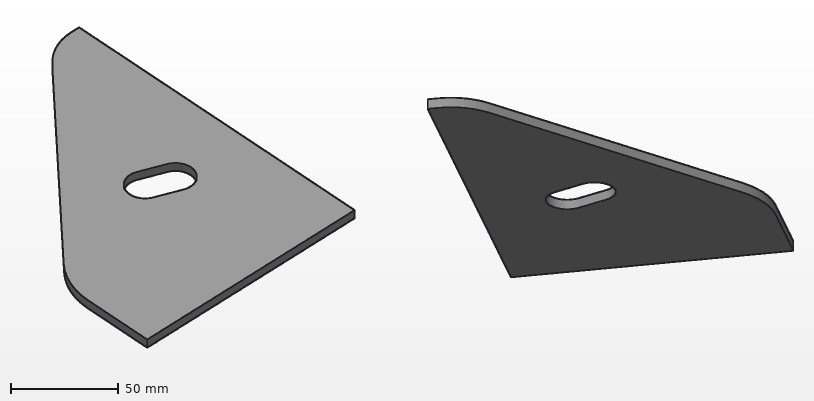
import cadquery as cq

length = 185.0
width = 135.0
thickness = 5.0

left_edge = 18.1
bottom_edge = 55.1
left_corner_radius = 30.0
bottom_corner_radius = 40.0

slot_center_x = 106.4
slot_center_y = 84.7
slot_width = 20.0
slot_center_spacing = 15.4
slot_angle = 68.0


def make_plate():
    """Rectangle with one corner cut off by a sloping edge, then rounded."""
    left_corner = (0, width - left_edge)
    bottom_corner = (length - bottom_edge, 0)
    plate = (
        cq.Workplane("XY")
        .polyline([(0, width), left_corner, bottom_corner, (length, 0), (length, width)])
        .close()
        .extrude(thickness)
    )
    plate = round_corner(plate, left_corner, left_corner_radius)
    return round_corner(plate, bottom_corner, bottom_corner_radius)


def round_corner(plate, corner, radius):
    """Round the vertical edge nearest to the given corner point."""
    edge = cq.selectors.NearestToPointSelector((corner[0], corner[1], thickness / 2))
    return plate.edges("|Z").edges(edge).fillet(radius)


def make_slot():
    """Solid that cuts the slot through the whole thickness."""
    return (
        cq.Workplane("XY")
        .center(slot_center_x, slot_center_y)
        .slot2D(slot_center_spacing + slot_width, slot_width, slot_angle)
        .extrude(thickness)
    )


result = make_plate().cut(make_slot())